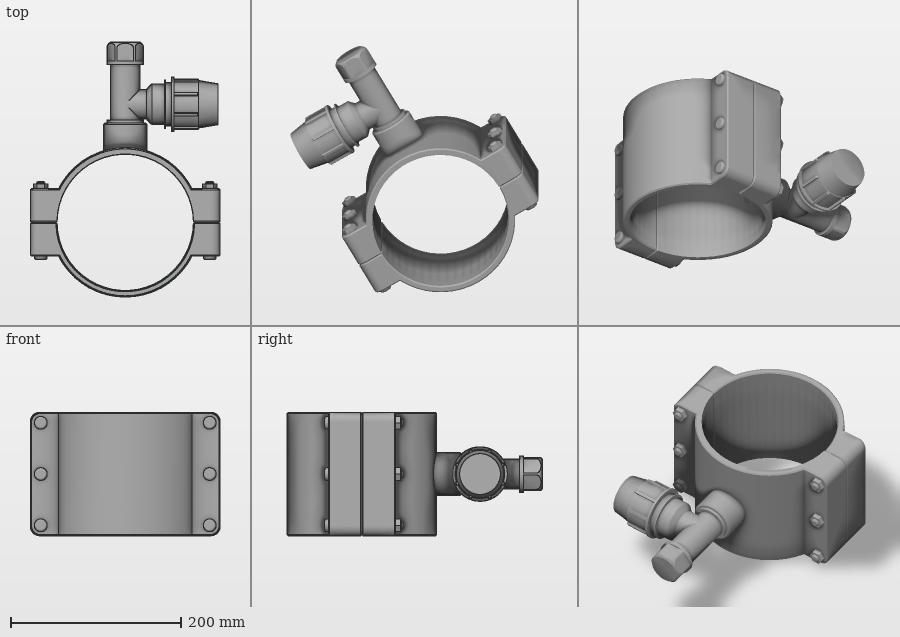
import cadquery as cq
import math

tolerance = 0.03

clamp_width = 223.0
clamp_height = 145.0
ring_outer_radius = 87.8
ring_bore_radius = 80.0
ear_depth = 39.5
ear_corner_radius = 11.0
edge_chamfer = 1.5

bolt_x = 99.2
bolt_z_spacing = 60.2
bolt_head_diameter = 15.0
bolt_head_height = 4.2
bolt_head_round = 2.55
stud_diameter = 10.0
stud_projection = 8.5
stud_chamfer = 1.5
bolt_nut_flats = 15.0
bolt_nut_height = 5.7

overall_length = 299.7
tower_end_y = overall_length - ring_outer_radius
boss_diameter = 50.5
boss_start_y = 81.0
boss_end_y = 116.5
boss_chamfer = 1.5
collar_diameter = 43.0
lower_collar_length = 3.5
pipe_diameter = 35.0
tower_hex_flats = 38.5
tower_hex_length = 22.2
upper_collar_length = 4.5
tower_hex_end_round = 6.5
outlet_bore_diameter = 32.0

branch_y = 138.8
neck_end_x = 25.0
shoulder_x = 31.2
socket_diameter = 48.0
thin_flange_x = 46.0
thin_flange_diameter = 57.5
thin_flange_length = 1.2
sleeve_diameter = 51.2
nut_flange_x = 54.5
nut_flange_diameter = 64.0
nut_flange_length = 2.7
grip_diameter = 57.5
grip_end_x = 86.3
taper_start_diameter = 55.7
taper_end_diameter = 48.0
taper_end_x = 109.0
grip_rib_count = 8
grip_rib_width = 3.0
grip_rib_radius = 31.8
grip_rib_end_chamfer = 1.5


def cylinder_along_y(diameter, start_y, end_y):
    """Solid cylinder on the Y axis between two Y positions."""
    plane = cq.Workplane("XZ", origin=(0, start_y, 0))
    return plane.circle(diameter / 2).extrude(start_y - end_y)


def hexagon_along_y(flats, start_y, end_y):
    """Hexagonal prism on the Y axis with its corners on the X axis."""
    plane = cq.Workplane("XZ", origin=(0, start_y, 0))
    return plane.polygon(6, flats / math.cos(math.pi / 6)).extrude(start_y - end_y)


def clamp_half(side, chamfer_bore):
    """Half ring with two ears, on the +Y (side = 1) or -Y (side = -1) side of the joint."""
    ears = (
        cq.Workplane("XY")
        .box(clamp_width, ear_depth, clamp_height)
        .translate((0, side * ear_depth / 2, 0))
        .edges("|Y")
        .fillet(ear_corner_radius)
    )
    ring = cq.Workplane("XY").circle(ring_outer_radius).extrude(clamp_height / 2, both=True)
    bore = cq.Workplane("XY").circle(ring_bore_radius).extrude(clamp_height / 2, both=True)
    half_space = (
        cq.Workplane("XY")
        .box(clamp_width, clamp_width, clamp_height)
        .translate((0, side * clamp_width / 2, 0))
    )
    half = ears.union(ring.intersect(half_space)).cut(bore)

    ear_root_x = math.sqrt(ring_outer_radius**2 - ear_depth**2)

    def is_chamfered(edge):
        center = edge.Center()
        on_ear_face = abs(abs(center.y) - ear_depth) < tolerance
        is_ear_root = on_ear_face and abs(abs(center.x) - ear_root_x) < tolerance
        is_bore_rim = edge.geomType() == "CIRCLE" and abs(edge.radius() - ring_bore_radius) < tolerance
        return not is_ear_root and (chamfer_bore or not is_bore_rim)

    edges = half.faces("|Y or |Z").edges().vals()
    return half.newObject([edge for edge in edges if is_chamfered(edge)]).chamfer(edge_chamfer)


def bolt():
    """Rounded head below the -Y ears, hex nut and stud end above the +Y ears."""
    head = (
        cylinder_along_y(bolt_head_diameter, -ear_depth - bolt_head_height, -ear_depth)
        .faces("<Y")
        .edges()
        .fillet(bolt_head_round)
    )
    stud = (
        cylinder_along_y(stud_diameter, -ear_depth, ear_depth + stud_projection)
        .faces(">Y")
        .edges()
        .chamfer(stud_chamfer)
    )
    nut = hexagon_along_y(bolt_nut_flats, ear_depth, ear_depth + bolt_nut_height)
    return head.union(stud).union(nut)


def tower():
    """Boss, collars, pipe and hexagonal end, stacked along +Y."""
    boss = (
        cylinder_along_y(boss_diameter, boss_start_y, boss_end_y)
        .faces(">Y")
        .edges()
        .chamfer(boss_chamfer)
    )

    hex_start_y = tower_end_y - tower_hex_length
    lower_collar = cylinder_along_y(collar_diameter, boss_end_y, boss_end_y + lower_collar_length)
    pipe = cylinder_along_y(pipe_diameter, boss_end_y, tower_end_y)
    upper_collar = cylinder_along_y(collar_diameter, hex_start_y - upper_collar_length, hex_start_y)
    hex_blank = (
        cylinder_along_y(collar_diameter, hex_start_y, tower_end_y)
        .faces(">Y")
        .edges()
        .fillet(tower_hex_end_round)
    )
    hex_end = hexagon_along_y(tower_hex_flats, hex_start_y, tower_end_y).intersect(hex_blank)
    return boss.union(lower_collar).union(pipe).union(upper_collar).union(hex_end)


def branch():
    """Compression coupling revolved about the branch axis, with grip ribs around its nut."""
    thin_flange_end_x = thin_flange_x + thin_flange_length
    nut_flange_end_x = nut_flange_x + nut_flange_length
    body = (
        cq.Workplane("XY")
        .moveTo(0, 0)
        .lineTo(0, pipe_diameter / 2)
        .lineTo(neck_end_x, pipe_diameter / 2)
        .lineTo(shoulder_x, socket_diameter / 2)
        .lineTo(thin_flange_x, socket_diameter / 2)
        .lineTo(thin_flange_x, thin_flange_diameter / 2)
        .lineTo(thin_flange_end_x, thin_flange_diameter / 2)
        .lineTo(thin_flange_end_x, sleeve_diameter / 2)
        .lineTo(nut_flange_x, sleeve_diameter / 2)
        .lineTo(nut_flange_x, nut_flange_diameter / 2)
        .lineTo(nut_flange_end_x, nut_flange_diameter / 2)
        .lineTo(nut_flange_end_x, grip_diameter / 2)
        .lineTo(grip_end_x, grip_diameter / 2)
        .lineTo(grip_end_x, taper_start_diameter / 2)
        .lineTo(taper_end_x, taper_end_diameter / 2)
        .lineTo(taper_end_x, 0)
        .close()
        .revolve(360, (0, 0, 0), (1, 0, 0))
    )
    rib_length = grip_end_x - nut_flange_x
    rib = (
        cq.Workplane("XY")
        .box(rib_length, grip_rib_width, grip_rib_radius, centered=(False, True, False))
        .translate((nut_flange_x, 0, 0))
        .edges(">X and >Z")
        .chamfer(grip_rib_end_chamfer)
    )
    rib_pitch = 360 / grip_rib_count
    for index in range(grip_rib_count):
        body = body.union(rib.rotate((0, 0, 0), (1, 0, 0), (index + 0.5) * rib_pitch))
    return body.translate((0, branch_y, 0))


result = clamp_half(1, chamfer_bore=False).union(clamp_half(-1, chamfer_bore=True))

for x in (-bolt_x, bolt_x):
    for z in (-bolt_z_spacing, 0, bolt_z_spacing):
        result = result.union(bolt().translate((x, 0, z)))

result = result.union(tower()).union(branch())

result = result.cut(cylinder_along_y(outlet_bore_diameter, 0, branch_y))